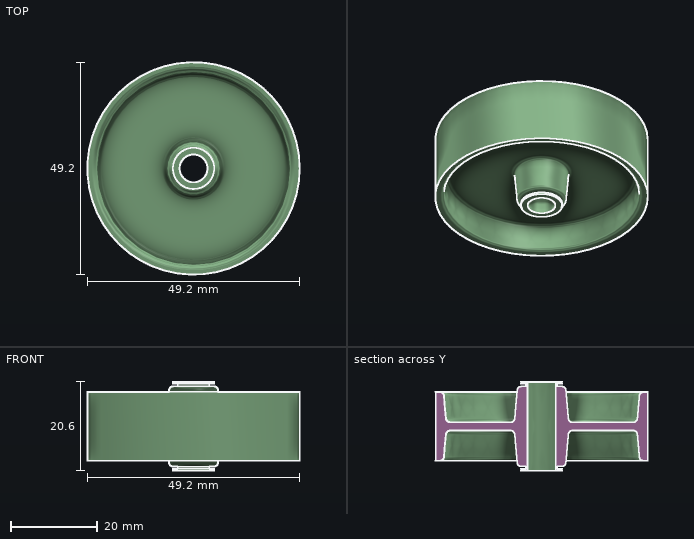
import cadquery as cq
import math

outer_radius = 24.6
rim_width = 15.95
rim_land_inner_radius = 23.55
rim_wall_radius = 22.6
rim_root_radius = 22.15
rim_fillet = 1.0
web_thickness = 1.95

hub_width = 18.6
hub_top_radius = 5.7
hub_root_radius = 6.25
hub_fillet = 1.0

bushing_length = 20.6
bushing_radius = 3.7
flange_radius = 4.75
flange_thickness = 0.5
bore_radius = 3.2

rim_top = rim_width / 2
web_top = web_thickness / 2
hub_top = hub_width / 2
bushing_top = bushing_length / 2
cut_clearance = 0.5


def rounded_corner(profile, start, end, corner):
    """Add a quarter arc tangent to both sides of a square corner."""
    center = (start[0] + end[0] - corner[0], start[1] + end[1] - corner[1])
    middle = [c + (k - c) * math.sqrt(0.5) for c, k in zip(center, corner)]
    return profile.threePointArc(tuple(middle), end)


def upper_recess():
    """Revolve the space above the wheel's upper face; points are (radius, height)."""
    cut_radius = outer_radius + cut_clearance
    cut_top = bushing_top + cut_clearance
    mouth_start = (rim_land_inner_radius, rim_top)
    mouth_end = (rim_wall_radius, rim_top - rim_fillet)
    rim_root = (rim_root_radius, web_top + rim_fillet)
    web_outer = (rim_root_radius - rim_fillet, web_top)
    web_inner = (hub_root_radius + hub_fillet, web_top)
    hub_root = (hub_root_radius, web_top + hub_fillet)
    hub_shoulder = (hub_top_radius, hub_top - hub_fillet)
    hub_end = (hub_top_radius - hub_fillet, hub_top)

    profile = cq.Workplane("XZ").moveTo(cut_radius, cut_top)
    profile = profile.lineTo(cut_radius, rim_top).lineTo(*mouth_start)
    profile = rounded_corner(profile, mouth_start, mouth_end, (rim_wall_radius, rim_top))
    profile = profile.lineTo(*rim_root)
    profile = rounded_corner(profile, rim_root, web_outer, (rim_root_radius, web_top))
    profile = profile.lineTo(*web_inner)
    profile = rounded_corner(profile, web_inner, hub_root, (hub_root_radius, web_top))
    profile = profile.lineTo(*hub_shoulder)
    profile = rounded_corner(profile, hub_shoulder, hub_end, (hub_top_radius, hub_top))
    profile = profile.lineTo(bushing_radius, hub_top)
    profile = profile.lineTo(bushing_radius, bushing_top - flange_thickness)
    profile = profile.lineTo(flange_radius, bushing_top - flange_thickness)
    profile = profile.lineTo(flange_radius, cut_top)
    return profile.close().revolve(360, (0, 0, 0), (0, 1, 0))


blank = cq.Workplane("XY").circle(outer_radius).circle(bore_radius).extrude(bushing_top, both=True).clean()
recess = upper_recess()
result = blank.cut(recess).cut(recess.mirror("XY"))